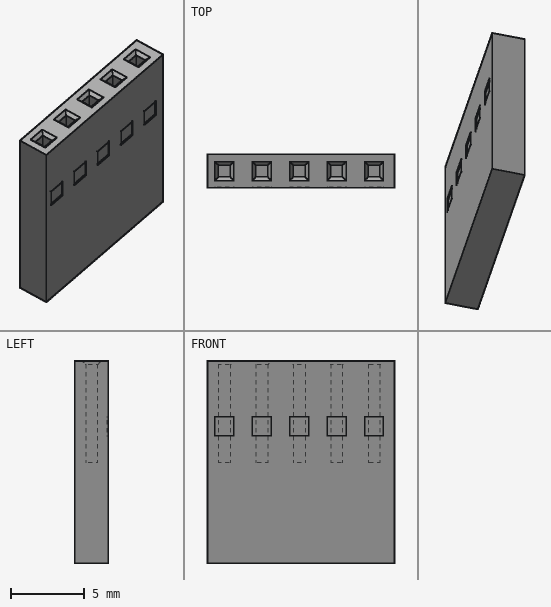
import cadquery as cq

width = 12.7
thickness = 2.29
height = 13.72

contact_count = 5
pitch = 2.54
row_offset = -0.12

lead_in_size = 1.28
socket_size = 0.8
lead_in_depth = (lead_in_size - socket_size) / 2
socket_depth = 6.86

window_size = 1.28
window_depth = 0.1
window_center_z = 9.29

contact_positions = [
    row_offset + (i - (contact_count - 1) / 2) * pitch for i in range(contact_count)
]


def make_socket(x):
    """Blind square hole with a funnel-shaped mouth, cut down from the top face."""
    mouth = (
        cq.Workplane("XY", origin=(x, 0, height))
        .rect(lead_in_size, lead_in_size)
        .workplane(offset=-lead_in_depth)
        .rect(socket_size, socket_size)
        .loft(ruled=True)
    )
    bore = (
        cq.Workplane("XY", origin=(x, 0, height - socket_depth))
        .rect(socket_size, socket_size)
        .extrude(socket_depth)
    )
    return mouth.union(bore)


def make_window(x):
    """Shallow square recess, cut from the front face toward +Y."""
    return (
        cq.Workplane("XZ", origin=(x, -thickness / 2, window_center_z))
        .rect(window_size, window_size)
        .extrude(-window_depth)
    )


result = cq.Workplane("XY").box(width, thickness, height, centered=(True, True, False))
for contact_x in contact_positions:
    result = result.cut(make_socket(contact_x))
    result = result.cut(make_window(contact_x))